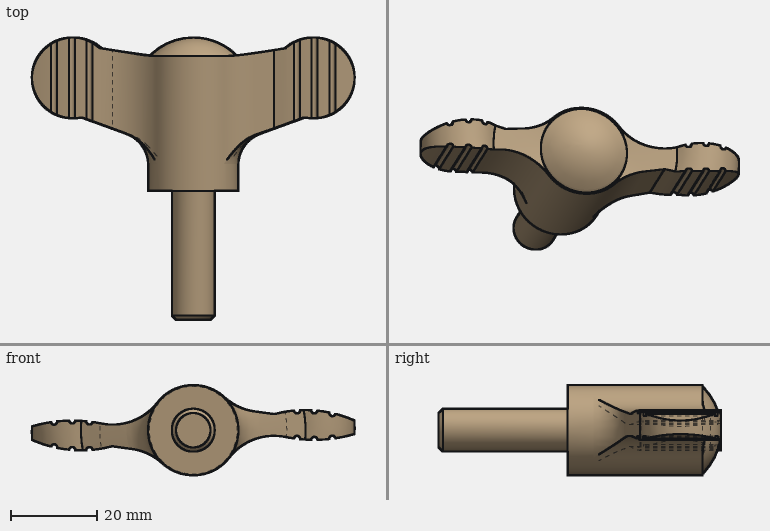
import cadquery as cq
import math


hub_radius = 21.0 / 2
hub_length = 31.3
dome_radius = 14.2
dome_edge_height = 31.75
total_height = 35.6

stud_radius = 10.0 / 2
stud_length = 30.0
stud_chamfer = 1.0

wing_tip_radius = 37.5
lobe_radius = 9.4
root_height = 6.1
root_fillet = 7.5
underside_angle = math.radians(20)
neck_top_height = 33.1

blend_radius = 13.2
upper_blend_start = 7.1
upper_blend_end = 14.75
upper_pad_start = 18.8
upper_pad_peak_x = 26.0
upper_pad_peak_z = 4.7
upper_pad_radius = 28.0
lower_blend_start = 8.3
lower_blend_end = 21.4
lower_pad_radius = 33.0
section_end = wing_tip_radius + 1.0

groove_radius = 0.7
inner_groove_offset = 4.0
outer_groove_offset = 4.2

lobe_center_radius = wing_tip_radius - lobe_radius
lobe_center_height = total_height - lobe_radius
groove_positions = (
    lobe_center_radius - inner_groove_offset,
    lobe_center_radius,
    lobe_center_radius + outer_groove_offset,
)


def arc_height(center, radius, x, side):
    """Z of a circle at x, on its upper (side = 1) or lower (side = -1) half."""
    return center[1] + side * math.sqrt(radius**2 - (x - center[0]) ** 2)


def blend_center(start_x, side):
    """Center of the hollow blend that touches the hub circle at start_x."""
    start_z = side * math.sqrt(hub_radius**2 - start_x**2)
    reach = (hub_radius + blend_radius) / hub_radius
    return (start_x * reach, start_z * reach)


upper_blend_center = blend_center(upper_blend_start, 1)
upper_pad_center = (upper_pad_peak_x, upper_pad_peak_z - upper_pad_radius)

lower_blend_center = blend_center(lower_blend_start, -1)
lower_joint_z = arc_height(lower_blend_center, blend_radius, lower_blend_end, 1)
pad_ratio = lower_pad_radius / blend_radius
lower_pad_center = (
    lower_blend_end + (lower_blend_end - lower_blend_center[0]) * pad_ratio,
    lower_joint_z + (lower_joint_z - lower_blend_center[1]) * pad_ratio,
)


def upper_blend_z(x):
    return arc_height(upper_blend_center, blend_radius, x, -1)


def upper_pad_z(x):
    return arc_height(upper_pad_center, upper_pad_radius, x, 1)


def lower_blend_z(x):
    return arc_height(lower_blend_center, blend_radius, x, 1)


def lower_pad_z(x):
    return arc_height(lower_pad_center, lower_pad_radius, x, -1)


def arc_along(sketch, start_x, end_x, height):
    """Add an arc from start_x to end_x on the curve given by height."""
    middle_x = (start_x + end_x) / 2
    return sketch.threePointArc((middle_x, height(middle_x)), (end_x, height(end_x)))


def make_hub():
    """Revolve the hub, with its spherical dome on a tangent conical skirt, about Y."""
    dome_center = total_height - dome_radius

    def dome_height(radius):
        return dome_center + math.sqrt(dome_radius**2 - radius**2)

    edge_rise = dome_edge_height - dome_center
    edge_radius = math.sqrt(dome_radius**2 - edge_rise**2)
    skirt_flare = edge_rise / edge_radius
    skirt_radius = edge_radius + (dome_edge_height - hub_length) * skirt_flare
    middle_radius = edge_radius / 2
    return (
        cq.Workplane("XY")
        .lineTo(hub_radius, 0)
        .lineTo(hub_radius, hub_length)
        .lineTo(skirt_radius, hub_length)
        .lineTo(edge_radius, dome_edge_height)
        .threePointArc((middle_radius, dome_height(middle_radius)), (0, total_height))
        .close()
        .revolve(360, (0, 0), (0, 1))
    )


def make_stud():
    """Plain stud with a chamfered end, pointing to -Y."""
    return (
        cq.Workplane("XZ")
        .circle(stud_radius)
        .extrude(stud_length)
        .faces("<Y")
        .chamfer(stud_chamfer)
    )


def make_wing_envelope():
    """Revolve the wing outline about Y."""
    cos_rise = math.cos(underside_angle)
    sin_rise = math.sin(underside_angle)
    fillet_center = (hub_radius + root_fillet, root_height)

    def fillet_point(angle):
        return (
            fillet_center[0] - root_fillet * math.cos(angle),
            fillet_center[1] + root_fillet * math.sin(angle),
        )

    fillet_end_angle = math.pi / 2 - underside_angle
    fillet_end = fillet_point(fillet_end_angle)

    offset_x = lobe_center_radius - fillet_end[0]
    offset_y = lobe_center_height - fillet_end[1]
    along = offset_x * cos_rise + offset_y * sin_rise
    across = offset_y * cos_rise - offset_x * sin_rise
    run = along - math.sqrt(lobe_radius**2 - across**2)
    lobe_start = (fillet_end[0] + run * cos_rise, fillet_end[1] + run * sin_rise)

    lobe_end_x = lobe_center_radius - math.sqrt(
        lobe_radius**2 - (neck_top_height - lobe_center_height) ** 2
    )
    return (
        cq.Workplane("XY")
        .moveTo(0, root_height)
        .lineTo(hub_radius, root_height)
        .threePointArc(fillet_point(fillet_end_angle / 2), fillet_end)
        .lineTo(*lobe_start)
        .threePointArc((wing_tip_radius, lobe_center_height), (lobe_end_x, neck_top_height))
        .lineTo(hub_radius, hub_length)
        .lineTo(0, hub_length)
        .close()
        .revolve(360, (0, 0), (0, 1))
    )


def make_wing_section():
    """Extrude the grooved XZ section of the +X wing along the hub."""
    sketch = cq.Workplane("XZ").moveTo(upper_blend_start, upper_blend_z(upper_blend_start))
    sketch = arc_along(sketch, upper_blend_start, upper_blend_end, upper_blend_z)
    sketch = sketch.lineTo(upper_pad_start, upper_pad_z(upper_pad_start))
    sketch = arc_along(sketch, upper_pad_start, section_end, upper_pad_z)
    sketch = sketch.lineTo(section_end, lower_pad_z(section_end))
    sketch = arc_along(sketch, section_end, lower_blend_end, lower_pad_z)
    sketch = arc_along(sketch, lower_blend_end, lower_blend_start, lower_blend_z)
    section = sketch.close().extrude(-total_height)

    groove_centers = []
    for x in groove_positions:
        groove_centers.append((x, upper_pad_z(x)))
        groove_centers.append((x, lower_pad_z(x)))
    grooves = (
        cq.Workplane("XZ")
        .pushPoints(groove_centers)
        .circle(groove_radius)
        .extrude(-total_height)
    )
    return section.cut(grooves)


wing = make_wing_section().intersect(make_wing_envelope())
opposite_wing = wing.rotate((0, 0, 0), (0, 1, 0), 180)
result = make_hub().union(make_stud()).union(wing).union(opposite_wing)